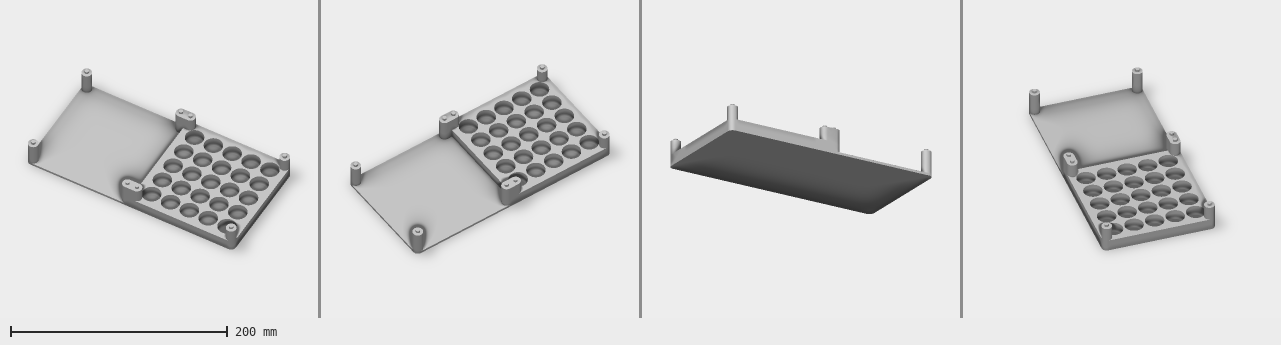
import cadquery as cq

length = 220.0
width = length / 2
base_thickness = 2.5

cups_per_side = 5
tray_length = length / 2
tray_height = 11.5
margin_in_pitches = 0.5
cup_pitch = width / (cups_per_side + margin_in_pitches)
cup_diameter = 18.0
cup_floor_height = base_thickness
cup_depth = tray_height - cup_floor_height
cup_floor_fillet = 2.0

total_height = 27.5
pin_height = 2.5
pin_diameter = 4.0
post_height = total_height - pin_height
post_diameter = margin_in_pitches * cup_pitch
post_radius = post_diameter / 2

corner_x = length / 2 - post_radius
row_y = width / 2 - post_radius
middle_x = post_radius
pin_points = [(x, y) for x in (-corner_x, -middle_x, middle_x, corner_x) for y in (-row_y, row_y)]
corner_points = [(x, y) for x in (-corner_x, corner_x) for y in (-row_y, row_y)]
middle_points = [(0, -row_y), (0, row_y)]


def make_base():
    """Thin plate with corners rounded to match the corner posts."""
    plate = cq.Workplane("XY").box(length, width, base_thickness, centered=(True, True, False))
    return plate.edges("|Z").fillet(post_radius)


def make_tray():
    """Raised block over the +X half, rounded at its two outer corners."""
    block = cq.Workplane("XY").box(tray_length, width, tray_height, centered=(False, True, False))
    return block.edges("|Z and >X").fillet(post_radius)


def make_posts():
    """Round corner posts and the two merged double posts at mid-length."""
    corner_posts = cq.Workplane("XY").pushPoints(corner_points).circle(post_radius).extrude(post_height)
    double_posts = (
        cq.Workplane("XY")
        .pushPoints(middle_points)
        .slot2D(2 * middle_x + post_diameter, post_diameter)
        .extrude(post_height)
    )
    return corner_posts.union(double_posts)


def make_pins():
    """One small pin on top of every post centre."""
    return (
        cq.Workplane("XY")
        .workplane(offset=post_height)
        .pushPoints(pin_points)
        .circle(pin_diameter / 2)
        .extrude(pin_height)
    )


def make_cups():
    """Cutters for the cups, with a rounded edge around each floor."""
    return (
        cq.Workplane("XY")
        .workplane(offset=cup_floor_height)
        .center(tray_length / 2, 0)
        .rarray(cup_pitch, cup_pitch, cups_per_side, cups_per_side)
        .circle(cup_diameter / 2)
        .extrude(cup_depth)
        .faces("<Z")
        .edges()
        .fillet(cup_floor_fillet)
    )


posts = make_posts()
body = make_base().union(make_tray()).cut(posts).union(posts)
result = body.union(make_pins()).cut(make_cups()).solids()